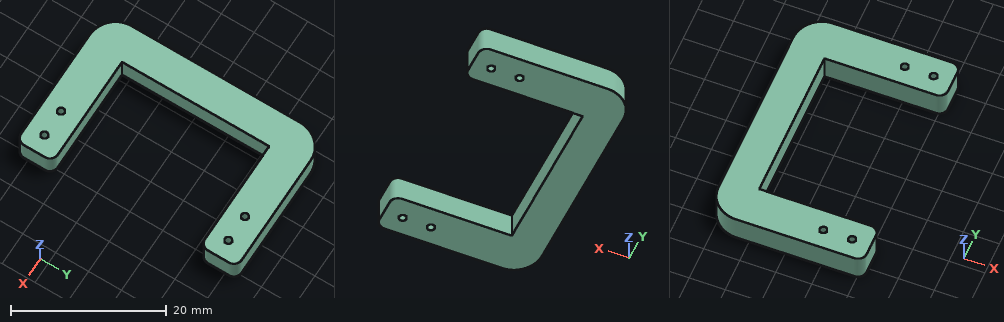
import cadquery as cq

depth = 21.7
width = 33.6
thickness = 4.0

spine_width = 5.0
arm_width = 5.6
opening_width = width - 2 * arm_width

back_corner_radius = 4.0
tip_corner_radius = 1.2

hole_diameter = 1.0
hole_spacing = 4.0
hole_tip_distance = 2.62
hole_row_spacing = 28.0
hole_row_offset = -0.15


def make_body():
    """Plate with rounded outer corners and a sharp-cornered opening towards +X."""
    plate = (
        cq.Workplane("XY")
        .box(depth, width, thickness, centered=(False, True, False))
        .edges("|Z and <X")
        .fillet(back_corner_radius)
    )
    opening = (
        cq.Workplane("XY")
        .box(depth - spine_width, opening_width, thickness, centered=(False, True, False))
        .translate((spine_width, 0, 0))
    )
    return plate.cut(opening).edges("|Z and >X").fillet(tip_corner_radius)


def hole_centers():
    """Two holes near the tip of each arm."""
    outer_x = depth - hole_tip_distance
    return [
        (x, hole_row_offset + side * hole_row_spacing / 2)
        for side in (-1, 1)
        for x in (outer_x - hole_spacing, outer_x)
    ]


holes = (
    cq.Workplane("XY")
    .pushPoints(hole_centers())
    .circle(hole_diameter / 2)
    .extrude(thickness)
)

result = make_body().cut(holes)